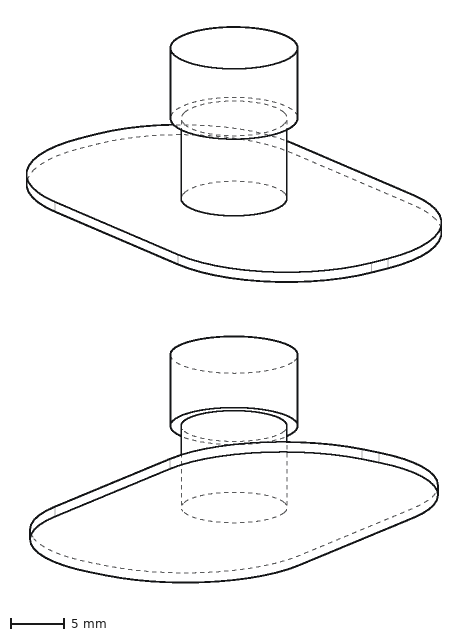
import cadquery as cq

plate_length = 45.0
plate_width = 28.0
plate_thickness = 1.0
plate_corner_radius = 13.0

stem_diameter = 10.0
stem_height = 8.0

head_diameter = 12.0
head_height = 7.0

stem_bottom = plate_thickness
head_bottom = stem_bottom + stem_height


def make_plate():
    """Flat plate with its four vertical edges rounded."""
    return (
        cq.Workplane("XY")
        .rect(plate_length, plate_width)
        .extrude(plate_thickness)
        .edges("|Z")
        .fillet(plate_corner_radius)
    )


def make_cylinder(diameter, height, bottom):
    """Upright cylinder on the central axis."""
    return cq.Workplane("XY").workplane(offset=bottom).circle(diameter / 2).extrude(height)


plate = make_plate()
stem = make_cylinder(stem_diameter, stem_height, stem_bottom)
head = make_cylinder(head_diameter, head_height, head_bottom)

result = cq.Compound.makeCompound([plate.val(), stem.val(), head.val()])